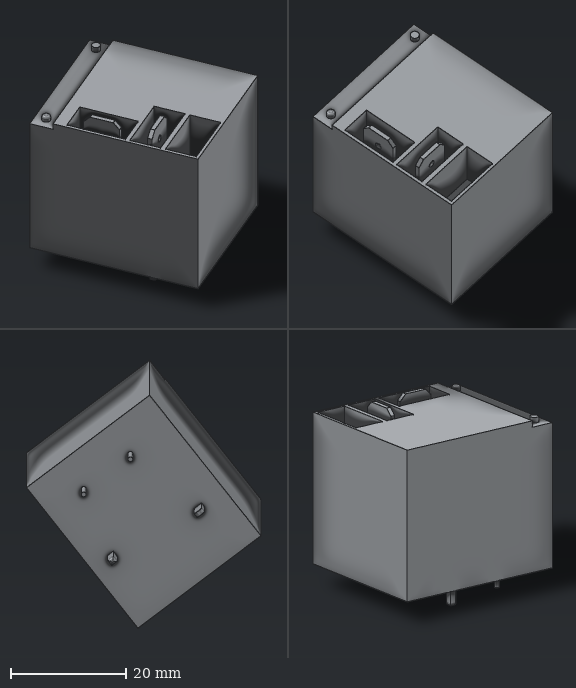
import cadquery as cq

length = 31.62
width = 26.95
overall_height = 32.84
pin_length = 4.25
blade_rise = 0.94
height = overall_height - pin_length - blade_rise
left = -length / 2
right = length / 2
front = -width / 2
back = width / 2

ledge_width = 4.40
ledge_drop = 1.16
ledge_z = height - ledge_drop

button_diameter = 1.57
button_height = 1.00
button_x = left + ledge_width / 2
back_button_gap = 2.32
front_button_gap = 2.24
button_round = 0.45

pocket_long = 10.96
pocket_short = 5.78
pocket_depth = 9.0
front_wall = 0.62
side_wall = 0.58
nc_no_wall = 0.91
no_com_wall = 0.84
nc_x = right - side_wall - pocket_short / 2
no_x = nc_x - pocket_short - nc_no_wall
com_x = no_x - pocket_short / 2 - no_com_wall - pocket_long / 2
upright_pocket_y = front + front_wall + pocket_long / 2
com_y = front + front_wall + pocket_short / 2

blade_width = 6.75
blade_thickness = 0.84
blade_chamfer = 1.20
blade_hole_diameter = 1.27
blade_hole_drop = 3.3
blade_height = pocket_depth + blade_rise

coil_pin_diameter = 0.84
coil_pin_x = left + 6.22
coil_pin_ys = (back - 7.74, back - 17.95)
contact_pin_x = left + 18.69
contact_pin_y = back - 4.42
contact_pin_size = (1.15, 1.23)
contact_pin_round = 0.5
flat_pin_x = left + 21.09
flat_pin_y = back - 21.54
flat_pin_size = (0.84, 1.64)
flat_pin_round = 0.5


def make_housing():
    """Block with a stepped lid and three terminal pockets."""
    block = cq.Workplane("XY").box(length, width, height, centered=(True, True, False))
    step = (
        cq.Workplane("XY", origin=(left, 0, ledge_z))
        .box(ledge_width, width, ledge_drop, centered=(False, True, False))
    )
    return (
        block.cut(step)
        .cut(make_pocket(com_x, com_y, pocket_long, pocket_short))
        .cut(make_pocket(no_x, upright_pocket_y, pocket_short, pocket_long))
        .cut(make_pocket(nc_x, upright_pocket_y, pocket_short, pocket_long))
    )


def make_pocket(x, y, size_x, size_y):
    """Rectangular recess reaching down from the lid."""
    return (
        cq.Workplane("XY", origin=(x, y, height - pocket_depth))
        .box(size_x, size_y, pocket_depth, centered=(True, True, False))
    )


def make_blade(x, y, turn):
    """Flat blade with chamfered top corners and a cross hole, turned about Z."""
    blade = (
        cq.Workplane("XY")
        .box(blade_width, blade_thickness, blade_height, centered=(True, True, False))
        .edges("|Y and >Z")
        .chamfer(blade_chamfer)
    )
    hole = (
        cq.Workplane("XZ", origin=(0, 0, blade_height - blade_hole_drop))
        .circle(blade_hole_diameter / 2)
        .extrude(blade_thickness, both=True)
    )
    return (
        blade.cut(hole)
        .rotate((0, 0, 0), (0, 0, 1), turn)
        .translate((x, y, height - pocket_depth))
    )


def make_button(y):
    """Plain round button on the ledge."""
    return (
        cq.Workplane("XY", origin=(button_x, y, ledge_z))
        .circle(button_diameter / 2)
        .extrude(button_height)
    )


def make_rounded_button(y):
    """Round button with its top rim rounded over."""
    return make_button(y).faces(">Z").edges().fillet(button_round)


def make_coil_pin(y):
    """Round pin with a flat end."""
    return (
        cq.Workplane("XY", origin=(coil_pin_x, y, 0))
        .circle(coil_pin_diameter / 2)
        .extrude(-pin_length)
    )


def make_contact_pin():
    """Rectangular pin with its tip rounded on all four sides."""
    pin = (
        cq.Workplane("XY", origin=(contact_pin_x, contact_pin_y, 0))
        .rect(*contact_pin_size)
        .extrude(-pin_length)
    )
    return pin.faces("<Z").edges().fillet(contact_pin_round)


def make_flat_pin():
    """Thin pin with its two tip corners rounded."""
    pin = (
        cq.Workplane("XY", origin=(flat_pin_x, flat_pin_y, 0))
        .rect(*flat_pin_size)
        .extrude(-pin_length)
    )
    return pin.edges("|X and <Z").fillet(flat_pin_round)


result = make_housing()
result = result.union(make_blade(com_x, com_y, 0))
result = result.union(make_blade(no_x, upright_pocket_y, 90))
result = result.union(make_button(back - back_button_gap))
result = result.union(make_rounded_button(front + front_button_gap))
for pin_y in coil_pin_ys:
    result = result.union(make_coil_pin(pin_y))
result = result.union(make_contact_pin())
result = result.union(make_flat_pin())